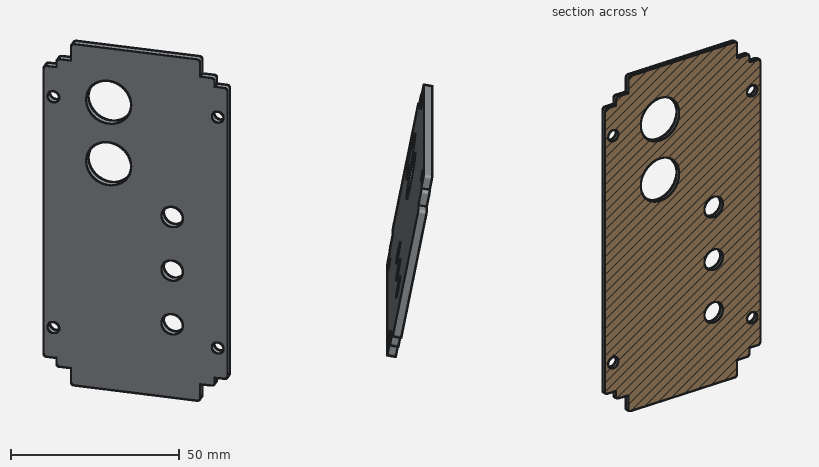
import cadquery as cq

width = 56.9
height = 111.0
thickness = 2.5

end_width = 40.0
step_width = 49.0
step_height = 100.0
side_height = 94.6
corner_radius = 1.0

mount_diameter = 3.5
mount_spacing_x = 50.8
mount_spacing_z = 75.0

opening_diameter = 13.9
opening_x = -8.3
opening_top_z = 38.0
opening_pitch = 20.0
opening_count = 2

button_diameter = 6.5
button_x = 11.3
button_top_z = 3.2
button_pitch = 17.4
button_count = 3


def block(size_x, size_z):
    """Centred slab with rounded corners."""
    slab = cq.Workplane("XY").box(size_x, thickness, size_z)
    return slab.edges("|Y").fillet(corner_radius)


def drills(points, diameter):
    """Cylinders along Y that pass through the plate at the given (x, z) points."""
    return (
        cq.Workplane("XZ")
        .pushPoints(points)
        .circle(diameter / 2)
        .extrude(thickness, both=True)
    )


plate = block(end_width, height)
plate = plate.union(block(step_width, step_height))
plate = plate.union(block(width, side_height))

mount_points = [
    (side * mount_spacing_x / 2, end * mount_spacing_z / 2)
    for side in (-1, 1)
    for end in (-1, 1)
]
opening_points = [(opening_x, opening_top_z - i * opening_pitch) for i in range(opening_count)]
button_points = [(button_x, button_top_z - i * button_pitch) for i in range(button_count)]

plate = plate.cut(drills(mount_points, mount_diameter))
plate = plate.cut(drills(opening_points, opening_diameter))
result = plate.cut(drills(button_points, button_diameter))